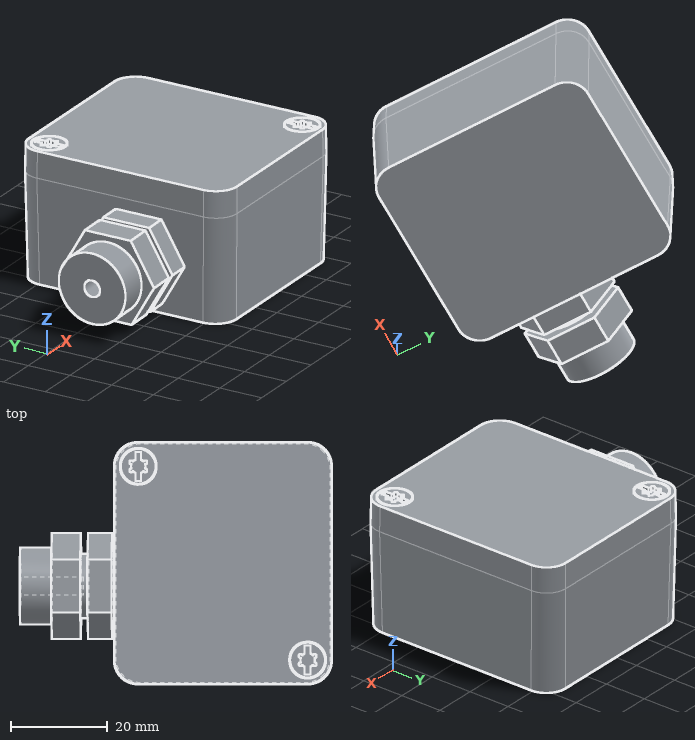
import cadquery as cq
import math

LENGTH = 45.0
WIDTH = 50.0
HEIGHT = 30.0
LID_HEIGHT = 6.0
BASE_HEIGHT = HEIGHT - LID_HEIGHT
CORNER_RADIUS = 5.0
DRAFT = 1.0
DRAFT_SLOPE = math.tan(math.radians(DRAFT))

SCREW_X = LENGTH / 2 - CORNER_RADIUS
SCREW_Y = WIDTH / 2 - CORNER_RADIUS
SCREW_HOLE_RADIUS = 3.8
SCREW_HEAD_RADIUS = 3.6
SCREW_GAP_DEPTH = 1.95
DRIVE_DEPTH = 1.0
SLOT_LENGTH = 6.0
SLOT_WIDTH = 1.2
STAR_CORE_RADIUS = 1.5
STAR_LOBES = 6
LOBE_RADIUS = 0.4
LOBE_DISTANCE = 1.7

GLAND_Y = -4.7
GLAND_Z = 12.0
GLAND_LENGTH = 19.5
NUT_ACROSS_FLATS = 19.0
CAP_RADIUS = 8.0
NECK_RADIUS = 6.7
CABLE_HOLE_RADIUS = 1.9
CABLE_HOLE_DEPTH = 13.0
FLANGE_THICKNESS = 0.6
LOCKNUT_END = 5.55
CAP_NUT_START = 7.0
CAP_NUT_END = 13.0
EMBED = 0.65


def rounded_section(inset):
    """Enclosure cross-section moved inward by the draft."""
    return (
        cq.Sketch()
        .rect(LENGTH - 2 * inset, WIDTH - 2 * inset)
        .vertices()
        .fillet(CORNER_RADIUS)
    )


def drafted_block(parting_z, end_z):
    """Block that narrows from the parting plane to its outer end."""
    height = end_z - parting_z
    end_section = rounded_section(abs(height) * DRAFT_SLOPE)
    return (
        cq.Workplane("XY", origin=(0, 0, parting_z))
        .placeSketch(rounded_section(0), end_section.moved(cq.Location(cq.Vector(0, 0, height))))
        .loft()
    )


def screw_cut(x, y):
    """Gap around a screw head together with its slotted star recess."""
    gap = (
        cq.Workplane("XY")
        .circle(SCREW_HOLE_RADIUS)
        .circle(SCREW_HEAD_RADIUS)
        .extrude(-SCREW_GAP_DEPTH)
    )
    slot = cq.Workplane("XY").rect(SLOT_WIDTH, SLOT_LENGTH).extrude(-DRIVE_DEPTH)
    core = cq.Workplane("XY").circle(STAR_CORE_RADIUS).extrude(-DRIVE_DEPTH)
    lobes = (
        cq.Workplane("XY")
        .polarArray(LOBE_DISTANCE, 90, 360, STAR_LOBES)
        .circle(LOBE_RADIUS)
        .extrude(-DRIVE_DEPTH)
    )
    return gap.union(slot).union(core).union(lobes).translate((x, y, HEIGHT))


wall_x = -LENGTH / 2 + (BASE_HEIGHT - GLAND_Z) * DRAFT_SLOPE
gland_plane = cq.Plane(
    origin=(wall_x, GLAND_Y, GLAND_Z),
    xDir=(0, 1, 0),
    normal=(-1, 0, -DRAFT_SLOPE),
)


def gland_cylinder(radius, start, end):
    return cq.Workplane(gland_plane).workplane(offset=start).circle(radius).extrude(end - start)


def gland_nut(start, end):
    """Hexagonal nut with corners pointing along Y."""
    across_corners = NUT_ACROSS_FLATS / math.cos(math.pi / 6)
    return cq.Workplane(gland_plane).workplane(offset=start).polygon(6, across_corners).extrude(end - start)


def cable_gland():
    flange = gland_cylinder(CAP_RADIUS, -EMBED, FLANGE_THICKNESS)
    locknut = gland_nut(FLANGE_THICKNESS, LOCKNUT_END)
    neck = gland_cylinder(NECK_RADIUS, LOCKNUT_END, CAP_NUT_START)
    cap_nut = gland_nut(CAP_NUT_START, CAP_NUT_END)
    cap = gland_cylinder(CAP_RADIUS, CAP_NUT_END, GLAND_LENGTH)
    cable_hole = gland_cylinder(CABLE_HOLE_RADIUS, GLAND_LENGTH - CABLE_HOLE_DEPTH, GLAND_LENGTH)
    return flange.union(locknut).union(neck).union(cap_nut).union(cap).cut(cable_hole)


base = drafted_block(BASE_HEIGHT, 0)
lid = drafted_block(BASE_HEIGHT, HEIGHT)
result = base.union(lid).union(cable_gland())

for side in (-1, 1):
    result = result.cut(screw_cut(side * SCREW_X, -side * SCREW_Y))